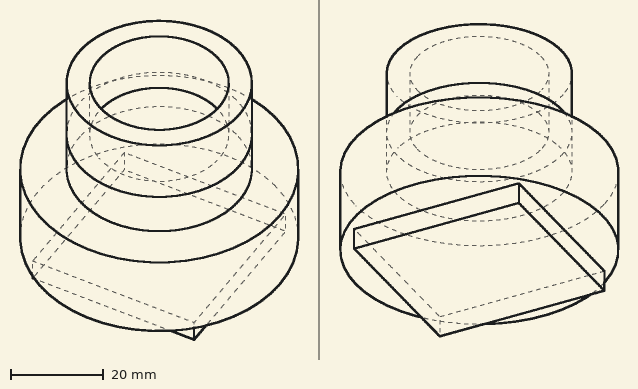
import cadquery as cq

flange_diameter = 60.0
flange_height = flange_diameter / 3
neck_diameter = flange_diameter * 2 / 3
neck_height = flange_height / 2
ring_bore_diameter = flange_diameter / 2
ring_height = flange_diameter / 4
foot_side = neck_diameter
foot_height = flange_height / 4

flange_bottom = foot_height
neck_bottom = flange_bottom + flange_height
ring_bottom = neck_bottom + neck_height


def make_foot():
    """Square plate under the flange."""
    return cq.Workplane("XY").rect(foot_side, foot_side).extrude(foot_height)


def make_flange():
    """Wide solid disc."""
    return cq.Workplane("XY", origin=(0, 0, flange_bottom)).circle(flange_diameter / 2).extrude(flange_height)


def make_neck():
    """Solid disc that closes the lower end of the ring bore."""
    return cq.Workplane("XY", origin=(0, 0, neck_bottom)).circle(neck_diameter / 2).extrude(neck_height)


def make_ring():
    """Open ring on the neck, flush with its outer side."""
    return (
        cq.Workplane("XY", origin=(0, 0, ring_bottom))
        .circle(neck_diameter / 2)
        .circle(ring_bore_diameter / 2)
        .extrude(ring_height)
    )


foot = make_foot()
flange = make_flange()
neck = make_neck()
ring = make_ring()

result = cq.Compound.makeCompound([foot.val(), flange.val(), neck.val(), ring.val()])